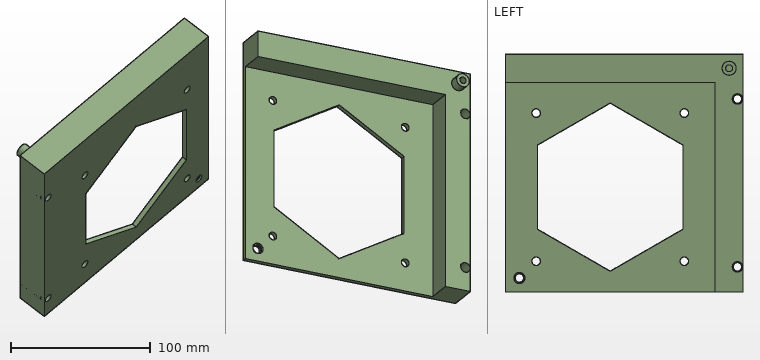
import cadquery as cq

side = 170.0
frame_depth = 24.0
plate_thickness = 3.9
bar_width = 20.0
plate_side = side - bar_width

window_across_corners = 120.0
plate_centre = plate_side / 2

plate_hole_diameter = 6.0
plate_hole_spacing = 105.9

bar_bore_diameter = 7.5
through_diameter = 6.0
bar_hole_edge_distance = 4.0
bar_hole_heights = (18.0, 138.0)
corner_bore_diameter = 8.0
corner_bore_depth = 2.0

corner_inset = 10.0
pin_diameter = 10.0
pin_length = 8.0
pin_bore_diameter = 5.0

bar_face = pin_length
back_face = bar_face + frame_depth
plate_face = back_face - plate_thickness


def mirrored_y(distance):
    """Y of a point measured from the +Y edge."""
    return side - distance


def cylinder(diameter, x_start, x_end, y, z):
    """Cylinder along X between two X positions."""
    return (
        cq.Workplane("YZ", origin=(x_start, y, z))
        .circle(diameter / 2)
        .extrude(x_end - x_start)
    )


def stepped_hole(wide_diameter, x_start, x_floor, y, z):
    """Wide bore down to x_floor with a narrower hole on through the back."""
    wide = cylinder(wide_diameter, x_start, x_floor, y, z)
    return wide.union(cylinder(through_diameter, x_start, back_face, y, z))


frame = cq.Workplane("XY", origin=(bar_face, 0, 0)).box(frame_depth, side, side, centered=False)
recess = cq.Workplane("XY", origin=(bar_face, bar_width, 0)).box(
    frame_depth - plate_thickness, plate_side, plate_side, centered=False
)
result = frame.cut(recess)

window_centre = (plate_face, mirrored_y(plate_centre), plate_centre)
plate_plane = cq.Workplane("YZ", origin=window_centre)
window = (
    plate_plane.transformed(rotate=(0, 0, 90))
    .polygon(6, window_across_corners)
    .extrude(plate_thickness)
)
plate_holes = (
    plate_plane.rect(plate_hole_spacing, plate_hole_spacing, forConstruction=True)
    .vertices()
    .circle(plate_hole_diameter / 2)
    .extrude(plate_thickness)
)
result = result.cut(window).cut(plate_holes)

for height in bar_hole_heights:
    bar_hole = stepped_hole(
        bar_bore_diameter, bar_face, plate_face, bar_hole_edge_distance, height
    )
    result = result.cut(bar_hole)

corner_hole = stepped_hole(
    corner_bore_diameter,
    plate_face,
    plate_face + corner_bore_depth,
    mirrored_y(corner_inset),
    corner_inset,
)
result = result.cut(corner_hole)

pin_height = side - corner_inset
pin = cylinder(pin_diameter, 0, bar_face, corner_inset, pin_height)
pin_bore = cylinder(pin_bore_diameter, 0, bar_face, corner_inset, pin_height)
result = result.union(pin).cut(pin_bore)